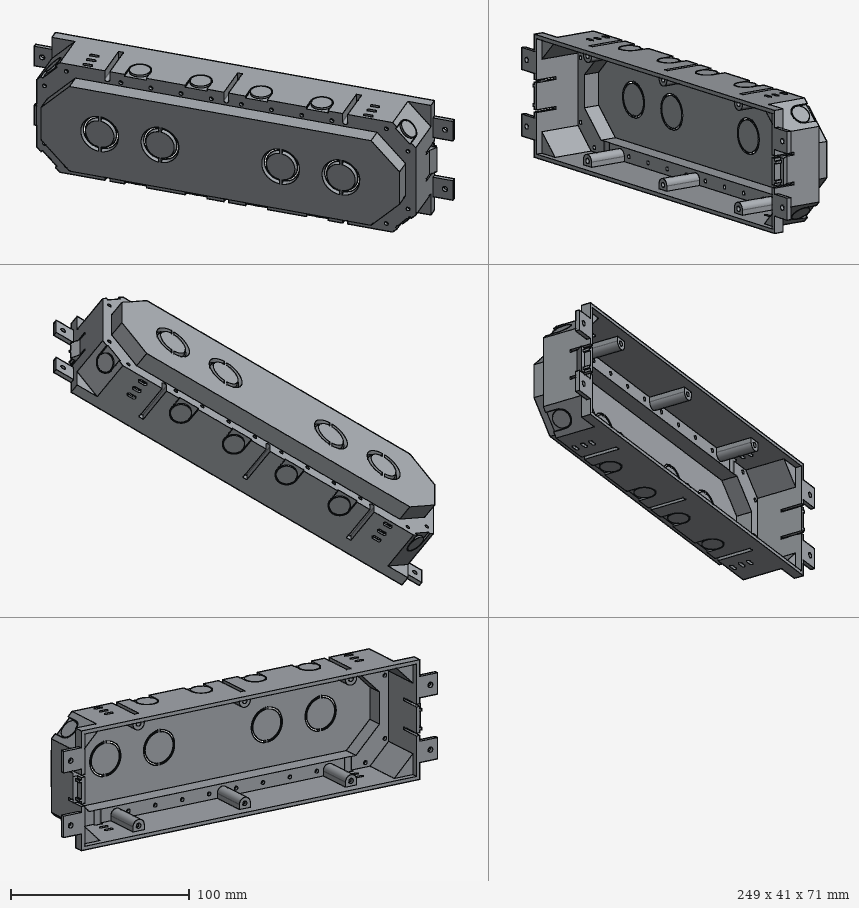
import cadquery as cq
import math


span = 249.0
total_depth = 41.0
height = 71.0
wall = 2.2

body_length = 225.3
rim_depth = 6.0
body_depth = 31.1
corner_bevel = 13.7
bevel_angle = 45
front_length = 213.1
front_height = 54.8
front_bevel = 17.0

tab_height = 12.7
tab_thickness = 2.5
tab_z = 19.2
tab_hole_diameter = 3.0
tab_hole_inset = 4.7

latch_height = 15.7
latch_reach = 3.0
latch_tip_depth = 4.0
latch_root_depth = 8.7
latch_slot_width = 1.5
latch_slot_depth = 13.5
ear_width = 1.5
ear_inset = 1.5
ear_reach = 1.2

pilot_diameter = 2.2
pilot_pitch = 18.0
pilots_per_row = 8
pilot_row_z = 29.6
corner_pilots = ((95.0, 30.6), (108.0, 18.7))

groove_diameter = 3.0
centre_groove_diameter = 2.7
groove_spacing = 70.7
groove_axis_inset = 5.2
groove_end_depth = 8.2

ring_positions = (35.9, 71.7)
ring_outer_radius = 11.2
ring_inner_radius = 8.5
ring_taper = 0.87
bridge_width = 1.5

knockout_positions = (18.0, 54.0)
knockout_depth = 23.5
wall_recess_radius = 6.5
corner_recess_radius = 6.0
disc_gap = 0.5
recess_cut = 1.2

tie_slot_x = 83.5
tie_slot_length = 5.5
tie_slot_width = 2.0
tie_slot_depths = (17.2, 22.5, 28.1)


def prism(length, tall, bevel, start, end):
    """Octagonal prism between two depths; a zero bevel gives a plain box."""
    bar = cq.Workplane("XY").box(length, end - start, tall).translate((0, -(start + end) / 2, 0))
    if bevel > 0:
        bar = bar.edges("|Y").chamfer(bevel)
    return bar


def rod(diameter, x, z, start, end):
    """Round bar along Y between two depths."""
    return cq.Workplane("XZ", origin=(x, -start, z)).circle(diameter / 2).extrude(end - start)


def block(x_range, y_range, z_range):
    """Box given by its limits on each axis."""
    sizes = [high - low for low, high in (x_range, y_range, z_range)]
    corner = (x_range[0], y_range[0], z_range[0])
    return cq.Workplane("XY").box(*sizes, centered=False).translate(corner)


def mirrored(shape):
    """The shape together with its copies on both sides of X = 0 and Z = 0."""
    pair = shape.union(shape.mirror("YZ"))
    return pair.union(pair.mirror("XY"))


def housing():
    inner_length = body_length - 2 * wall
    inner_height = height - 2 * wall
    bevel_loss = wall * (2 - math.sqrt(2))
    shell = prism(body_length, height, 0, 0, rim_depth)
    shell = shell.union(prism(body_length, height, corner_bevel, 0, body_depth))
    shell = shell.union(prism(front_length, front_height, front_bevel, body_depth - wall, total_depth))
    shell = shell.cut(prism(inner_length, inner_height, 0, 0, rim_depth - wall))
    shell = shell.cut(prism(inner_length, inner_height, corner_bevel - bevel_loss, 0, body_depth - wall))
    front_cavity = prism(
        front_length - 2 * wall,
        front_height - 2 * wall,
        front_bevel - bevel_loss,
        0,
        total_depth - wall,
    )
    return shell.cut(front_cavity)


def add_tabs(shape):
    tab = block(
        (body_length / 2 - wall, span / 2),
        (-tab_thickness, 0),
        (tab_z - tab_height / 2, tab_z + tab_height / 2),
    )
    tab = tab.cut(rod(tab_hole_diameter, span / 2 - tab_hole_inset, tab_z, 0, tab_thickness))
    return shape.union(mirrored(tab))


def add_latches(shape):
    end_x = body_length / 2
    half = latch_height / 2
    slot = block((end_x - wall, end_x), (-latch_slot_depth, 0), (half, half + latch_slot_width))
    wedge_profile = [
        (end_x - wall, -latch_tip_depth),
        (end_x + latch_reach, -latch_tip_depth),
        (end_x, -latch_root_depth),
        (end_x - wall, -latch_root_depth),
    ]
    wedge = cq.Workplane("XY", origin=(0, 0, -half)).polyline(wedge_profile).close().extrude(latch_height)
    ear_top = half - ear_inset
    ear = block((end_x - wall, end_x + ear_reach), (-latch_tip_depth, 0), (ear_top - ear_width, ear_top))
    return shape.cut(mirrored(slot)).union(mirrored(wedge)).union(mirrored(ear))


def cut_pilots(shape):
    first_x = pilot_pitch / 2
    row = [(first_x + i * pilot_pitch, pilot_row_z) for i in range(pilots_per_row // 2)]
    for x, z in (*row, *corner_pilots):
        shape = shape.cut(mirrored(rod(pilot_diameter, x, z, rim_depth, body_depth)))
    return shape


def add_screw_grooves(shape):
    """Open grooves sunk into ribs; a hole along the groove axis leaves through the rib end."""
    wall_z = height / 2
    axis_z = wall_z - groove_axis_inset
    rib_end = groove_end_depth - wall
    for x, diameter in (
        (-groove_spacing, groove_diameter),
        (0, centre_groove_diameter),
        (groove_spacing, groove_diameter),
    ):
        half = diameter / 2
        rib_half = half + wall
        rib = rod(2 * rib_half, x, axis_z, rib_end, body_depth)
        rib = rib.union(block((x - rib_half, x + rib_half), (-body_depth, -rib_end), (axis_z, wall_z)))
        groove = block((x - half, x + half), (-body_depth, -groove_end_depth), (axis_z, wall_z))
        groove = groove.union(rod(diameter, x, axis_z, rib_end, body_depth))
        shape = shape.union(rib).union(rib.mirror("XY"))
        shape = shape.cut(groove).cut(groove.mirror("XY"))
    return shape


def front_knockout_ring(x):
    """Ring slot through the front plate, narrowing toward the inside and split by two bridges."""
    plate_back = total_depth - wall
    profile = [
        (x + ring_inner_radius, -total_depth),
        (x + ring_outer_radius, -total_depth),
        (x + ring_outer_radius - ring_taper, -plate_back),
        (x + ring_inner_radius + ring_taper, -plate_back),
    ]
    ring = cq.Workplane("XY").polyline(profile).close().revolve(360, (x, 0), (x, 1))
    bridge = block(
        (x - bridge_width / 2, x + bridge_width / 2),
        (-total_depth, -plate_back),
        (-ring_outer_radius, ring_outer_radius),
    )
    return ring.cut(bridge)


def cut_front_knockouts(shape):
    for x in ring_positions:
        ring = front_knockout_ring(x)
        shape = shape.cut(ring).cut(ring.mirror("YZ"))
    return shape


def knockout_recess(radius):
    """U-shaped recess around a flush disc, sunk from Z = 0 and open toward the front."""
    centre = cq.Workplane("XY", origin=(0, -knockout_depth, 0))
    recess = centre.circle(radius).extrude(-recess_cut)
    recess = recess.union(block((-radius, radius), (-body_depth, -knockout_depth), (-recess_cut, 0)))
    disc = centre.circle(radius - disc_gap).extrude(-recess_cut)
    return recess.cut(disc)


def cut_wall_knockouts(shape):
    for x in knockout_positions:
        shape = shape.cut(mirrored(knockout_recess(wall_recess_radius).translate((x, 0, height / 2))))
    return shape


def cut_corner_knockouts(shape):
    bevel_x = (body_length - corner_bevel) / 2
    bevel_z = (height - corner_bevel) / 2
    recess = knockout_recess(corner_recess_radius).rotate((0, 0, 0), (0, 1, 0), bevel_angle)
    return shape.cut(mirrored(recess.translate((bevel_x, 0, bevel_z))))


def cut_tie_slots(shape):
    for x in (-tie_slot_x, tie_slot_x):
        for depth in tie_slot_depths:
            slot = (
                cq.Workplane("XY", origin=(x, -depth, -height / 2))
                .slot2D(tie_slot_length, tie_slot_width)
                .extrude(height)
            )
            shape = shape.cut(slot)
    return shape


result = housing()
result = add_tabs(result)
result = add_latches(result)
result = add_screw_grooves(result)
result = cut_pilots(result)
result = cut_front_knockouts(result)
result = cut_wall_knockouts(result)
result = cut_corner_knockouts(result)
result = cut_tie_slots(result)